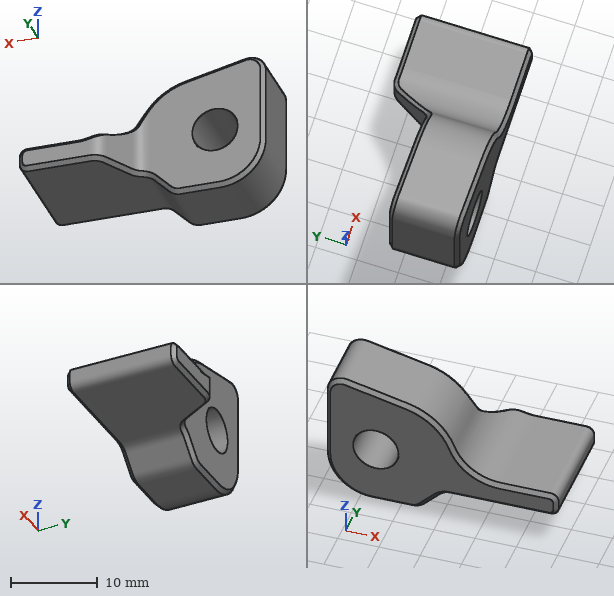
import cadquery as cq
import math

hole_diameter = 5.5
left_x = -6.0
tip_x = 22.0
bottom_z = -7.5
top_z = 9.08
body_depth = 8.5
handle_depth = 14.0

top_slope = math.radians(13.0)
top_left_radius = 2.0
shoulder_radius = 8.0
neck_radius = 6.0
neck_end_x = 15.0
handle_top_z = -1.5
handle_bottom_z = -4.5
tip_radius = 1.0
bevel_bottom_x = 5.1
bevel_top_x = bevel_bottom_x + handle_bottom_z - bottom_z
bevel_radius = 2.0
bottom_left_radius = 5.5

flare_start_x = 9.1
flare_angle = math.radians(60.0)
flare_end_x = flare_start_x + (handle_depth - body_depth) / math.tan(flare_angle)
flare_radius = 2.0
edge_chamfer = 0.5

select_reach = 0.1


def point_on_circle(center, radius, angle):
    return (center[0] + radius * math.cos(angle), center[1] + radius * math.sin(angle))


def side_outline():
    """Closed XZ outline of the lever, drawn clockwise from the left side."""
    slope_normal = math.pi / 2 - top_slope
    corner_center = (left_x + top_left_radius, top_z - top_left_radius)
    neck_center = (neck_end_x, handle_top_z + neck_radius)

    line_start = point_on_circle(corner_center, top_left_radius - shoulder_radius, slope_normal)
    to_neck_x = neck_center[0] - line_start[0]
    to_neck_z = neck_center[1] - line_start[1]
    along = to_neck_x * math.cos(top_slope) - to_neck_z * math.sin(top_slope)
    across = to_neck_x * math.sin(top_slope) + to_neck_z * math.cos(top_slope)
    travel = along - math.sqrt((shoulder_radius + neck_radius) ** 2 - across ** 2)
    shoulder_center = point_on_circle(line_start, travel, -top_slope)
    neck_direction = math.atan2(
        neck_center[1] - shoulder_center[1],
        neck_center[0] - shoulder_center[0],
    )

    slope_start = point_on_circle(corner_center, top_left_radius, slope_normal)
    slope_end = point_on_circle(shoulder_center, shoulder_radius, slope_normal)
    shoulder_middle = point_on_circle(
        shoulder_center, shoulder_radius, (slope_normal + neck_direction) / 2
    )
    shoulder_end = point_on_circle(shoulder_center, shoulder_radius, neck_direction)
    neck_middle = point_on_circle(
        neck_center, neck_radius, (math.pi + neck_direction + 1.5 * math.pi) / 2
    )
    corner_middle = point_on_circle(corner_center, top_left_radius, (math.pi + slope_normal) / 2)

    return (
        cq.Workplane("XZ")
        .moveTo(left_x, bottom_z)
        .lineTo(left_x, corner_center[1])
        .threePointArc(corner_middle, slope_start)
        .lineTo(*slope_end)
        .threePointArc(shoulder_middle, shoulder_end)
        .threePointArc(neck_middle, (neck_end_x, handle_top_z))
        .lineTo(tip_x, handle_top_z)
        .lineTo(tip_x, handle_bottom_z)
        .lineTo(bevel_top_x, handle_bottom_z)
        .lineTo(bevel_bottom_x, bottom_z)
        .close()
    )


def depth_edge_at(x, z):
    """Selector for the depth-wise edge that passes through (x, z)."""
    return cq.selectors.BoxSelector(
        (x - select_reach, 0, z - select_reach),
        (x + select_reach, handle_depth, z + select_reach),
    )


def plan_edge_at(x, y):
    """Selector for the vertical edge that passes through (x, y)."""
    return cq.selectors.BoxSelector(
        (x - select_reach, y - select_reach, bottom_z),
        (x + select_reach, y + select_reach, top_z),
    )


def lever_blank():
    """Full-depth lever with its sharp profile corners rounded."""
    blank = side_outline().extrude(-handle_depth)
    rounded_corners = [
        (left_x, bottom_z, bottom_left_radius),
        (bevel_bottom_x, bottom_z, bevel_radius),
        (bevel_top_x, handle_bottom_z, bevel_radius),
        (tip_x, handle_bottom_z, tip_radius),
        (tip_x, handle_top_z, tip_radius),
    ]
    for x, z, radius in rounded_corners:
        blank = blank.edges("|Y").edges(depth_edge_at(x, z)).fillet(radius)
    return blank


def depth_envelope():
    """Plan shape: the shallow body flares back to the deeper handle."""
    flare_edges = plan_edge_at(flare_start_x, body_depth) + plan_edge_at(flare_end_x, handle_depth)
    return (
        cq.Workplane("XY")
        .workplane(offset=bottom_z)
        .moveTo(left_x, 0)
        .lineTo(tip_x, 0)
        .lineTo(tip_x, handle_depth)
        .lineTo(flare_end_x, handle_depth)
        .lineTo(flare_start_x, body_depth)
        .lineTo(left_x, body_depth)
        .close()
        .extrude(top_z - bottom_z)
        .edges("|Z")
        .edges(flare_edges)
        .fillet(flare_radius)
    )


def chamfer_rims(solid):
    """Chamfer front and back rims; each follows its tangent chain from the left side edge."""
    return solid.edges("|Z").edges("<X").chamfer(edge_chamfer)


def pivot_hole():
    """Plain cylinder through the full depth of the body."""
    return cq.Workplane("XZ").circle(hole_diameter / 2).extrude(-body_depth)


lever = lever_blank().intersect(depth_envelope())
result = chamfer_rims(lever).cut(pivot_hole())